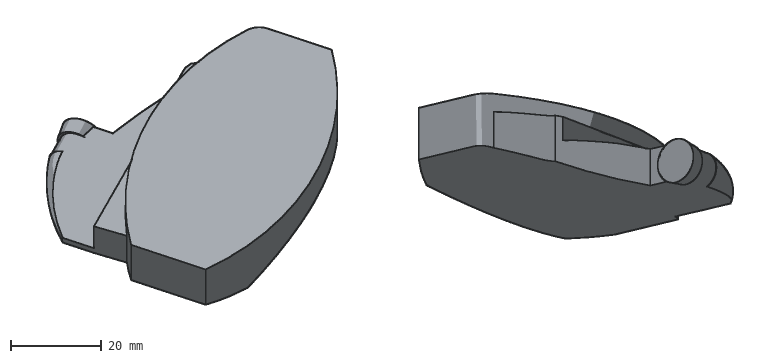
import cadquery as cq
import math


lens_length = 70.0
lens_half_width = 20.15
lens_end_width = 18.0
corner_radius = 4.9
half_length = lens_length / 2
end_half_width = lens_end_width / 2
lens_sagitta = lens_half_width - end_half_width
lens_radius = (half_length**2 + lens_sagitta**2) / (2 * lens_sagitta)

depth = 16.7
bottom_radius = 134.0
bevel_size = 7.65

block_top_z = -4.2
front_y = -30.05
front_rise = 1.0
block_tip = (-19.4, 22.15)
block_neck = (-17.1, 24.4)
neck_radius = 5.9
flank_middle = (-14.2, 28.55)
flank_end_y = 32.85

wing_flat_z = -8.2
wing_flat_half_length = 7.25
wing_top_radius = 125.5
wing_back_y = -0.3
wing_back_corner_x = -28.55
rim_radius = (depth + wing_flat_z) / 2
rim_z = wing_flat_z - rim_radius
rim_x = -35.57
rim_straight_end_y = -9.5
rim_arc_centre = (0.9, 0.8)

nozzle_x = -35.9
nozzle_length = 3.8
nozzle_rim_radius = 5.05
nozzle_neck_radius = 4.55

space_half_width = 60.0

rim_arc_radius = math.dist(rim_arc_centre, (rim_x, rim_straight_end_y))


def lens_x(y):
    """Distance of the lens side from the middle plane at a given Y."""
    return math.sqrt(lens_radius**2 - y**2) - (lens_radius - lens_half_width)


def rim_arc_point(y):
    """Point of the rim's curved centre line at a given Y."""
    centre_x, centre_y = rim_arc_centre
    return (centre_x - math.sqrt(rim_arc_radius**2 - (y - centre_y) ** 2), y)


def arc_drop(radius, y):
    """Distance along Z between a given Y of an arc and its crown at Y = 0."""
    return radius - math.sqrt(radius**2 - y**2)


def make_lens():
    return (
        cq.Workplane("XY")
        .moveTo(-end_half_width, -half_length)
        .lineTo(end_half_width, -half_length)
        .threePointArc((lens_half_width, 0), (end_half_width, half_length))
        .lineTo(-end_half_width, half_length)
        .threePointArc((-lens_half_width, 0), (-end_half_width, -half_length))
        .close()
        .extrude(-depth)
        .edges("|Z")
        .edges(cq.selectors.NearestToPointSelector((-end_half_width, half_length, -depth / 2)))
        .fillet(corner_radius)
    )


def make_block():
    """Block along the -X side of the lens, running up to the rounded corner."""
    wall_x = -lens_half_width
    side_slope = (block_tip[0] - wing_back_corner_x) / (block_tip[1] - wing_back_y)
    wall_end_y = block_tip[1] - (block_tip[0] - wall_x) / side_slope
    return (
        cq.Workplane("XY", origin=(0, 0, block_top_z))
        .moveTo(0, front_y + front_rise)
        .lineTo(wall_x, front_y)
        .lineTo(wall_x, wall_end_y)
        .lineTo(*block_tip)
        .radiusArc(block_neck, -neck_radius)
        .threePointArc(flank_middle, (-lens_x(flank_end_y), flank_end_y))
        .lineTo(0, flank_end_y)
        .close()
        .extrude(-depth - block_top_z)
    )


def make_wing():
    """Plate beside the block, thinner towards its ends, with a round rim."""
    middle_y = (rim_straight_end_y + front_y) / 2
    plate = (
        cq.Workplane("XY", origin=(0, 0, -depth))
        .moveTo(rim_x, wing_back_y)
        .lineTo(rim_x, rim_straight_end_y)
        .threePointArc(rim_arc_point(middle_y), rim_arc_point(front_y))
        .lineTo(-lens_half_width, front_y)
        .lineTo(*block_tip)
        .lineTo(wing_back_corner_x, wing_back_y)
        .close()
        .extrude(depth + wing_flat_z)
    )
    straight_rim = (
        cq.Workplane("XZ", origin=(rim_x, wing_back_y, rim_z))
        .circle(rim_radius)
        .extrude(wing_back_y - rim_straight_end_y)
    )
    return plate.union(straight_rim).union(make_curved_rim()).intersect(make_wing_space())


def make_curved_rim():
    """Part of a ring between the straight rim and the front end of the wing."""
    centre_x, centre_y = rim_arc_centre
    ring = cq.Workplane("XY").add(
        cq.Solid.makeTorus(rim_arc_radius, rim_radius, cq.Vector(centre_x, centre_y, rim_z))
    )
    ring_reach = rim_arc_radius + rim_radius
    kept_zone = (
        cq.Workplane("XY", origin=(0, 0, -depth))
        .moveTo(-lens_half_width, front_y)
        .lineTo(-lens_half_width, rim_straight_end_y)
        .lineTo(centre_x - ring_reach, rim_straight_end_y)
        .lineTo(centre_x - ring_reach, front_y)
        .close()
        .extrude(2 * rim_radius)
    )
    return ring.intersect(kept_zone)


def make_wing_space():
    """Everything below the wing's top: a flat strip that curves down on both sides."""
    flat_end = wing_flat_half_length
    slope_y = (flat_end + half_length) / 2
    crown_z = wing_flat_z + arc_drop(wing_top_radius, flat_end)
    slope_z = crown_z - arc_drop(wing_top_radius, slope_y)
    end_z = crown_z - arc_drop(wing_top_radius, half_length)
    return (
        cq.Workplane("YZ")
        .moveTo(-half_length, -depth)
        .lineTo(-half_length, end_z)
        .threePointArc((-slope_y, slope_z), (-flat_end, wing_flat_z))
        .lineTo(flat_end, wing_flat_z)
        .threePointArc((slope_y, slope_z), (half_length, end_z))
        .lineTo(half_length, -depth)
        .close()
        .extrude(space_half_width, both=True)
    )


def make_underside_space():
    """Everything above the curved underside."""
    end_z = arc_drop(bottom_radius, half_length) - depth
    return (
        cq.Workplane("YZ")
        .moveTo(-half_length, 0)
        .lineTo(-half_length, end_z)
        .threePointArc((0, -depth), (half_length, end_z))
        .lineTo(half_length, 0)
        .close()
        .extrude(space_half_width, both=True)
    )


def make_bevel():
    return (
        cq.Workplane("XZ")
        .moveTo(lens_half_width, -depth)
        .lineTo(lens_half_width - bevel_size, -depth)
        .lineTo(lens_half_width, bevel_size - depth)
        .close()
        .extrude(lens_length, both=True)
    )


def make_nozzle():
    """Flared plug, widest at its open end at Y = 0."""
    return cq.Workplane("XY").add(
        cq.Solid.makeCone(
            nozzle_neck_radius,
            nozzle_rim_radius,
            nozzle_length,
            pnt=cq.Vector(nozzle_x, -nozzle_length, rim_z),
            dir=cq.Vector(0, 1, 0),
        )
    )


nozzle = make_nozzle()
housing = (
    make_lens()
    .union(make_block())
    .union(make_wing())
    .intersect(make_underside_space())
    .cut(make_bevel())
    .cut(nozzle)
)

result = cq.Compound.makeCompound([housing.solids().val(), nozzle.val()])